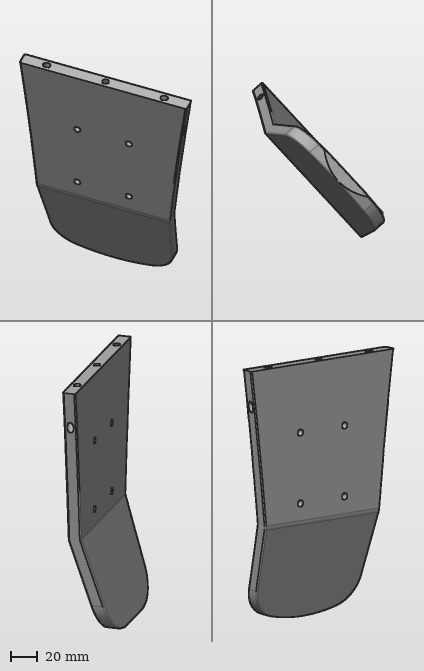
import cadquery as cq
import math

height = 198.8
top_width = 133.8
thickness = 10.0

bend_drop = 120.7
bend_angle = math.radians(17.5)
bend_inner_radius = 1.0
bend_outer_radius = bend_inner_radius + thickness
end_cut_drop = 199.0

side_mid_half_width = 56.0
foot_half_width = 48.0
foot_drop = 188.5
corner_radius = 25.8
edge_round = 1.0

hole_diameter = 5.0
mount_spacing_x = 41.4
mount_spacing_z = 53.9
mount_top_drop = 52.3
edge_hole_y = thickness / 2
center_hole_depth = 29.8
angled_hole_x = 47.1
angled_hole_tilt = math.radians(30)
angled_hole_length = 49.7


def bent_slab(end_drop):
    """Bent sheet, wider than the part, cut square where its front face reaches end_drop."""
    end_y = (end_drop - bend_drop) * math.tan(bend_angle)
    back_end_y = end_y + thickness * math.cos(bend_angle)
    back_end_drop = end_drop - thickness * math.sin(bend_angle)
    back_bend_drop = bend_drop - thickness * math.tan(bend_angle / 2)
    slab = (
        cq.Workplane("YZ")
        .moveTo(0, 0)
        .lineTo(0, -bend_drop)
        .lineTo(end_y, -end_drop)
        .lineTo(back_end_y, -back_end_drop)
        .lineTo(thickness, -back_bend_drop)
        .lineTo(thickness, 0)
        .close()
        .extrude(top_width, both=True)
    )
    front_bend = cq.selectors.NearestToPointSelector((0, 0, -bend_drop))
    back_bend = cq.selectors.NearestToPointSelector((0, thickness, -back_bend_drop))
    slab = slab.edges(front_bend).fillet(bend_outer_radius)
    return slab.edges(back_bend).fillet(bend_inner_radius)


def outline_prism():
    """Tapered outline with a rounded tip, running straight through along Y."""
    half_top = top_width / 2
    prism = (
        cq.Workplane("XZ")
        .moveTo(-half_top, 0)
        .threePointArc((-side_mid_half_width, -foot_drop / 2), (-foot_half_width, -foot_drop))
        .threePointArc((0, -height), (foot_half_width, -foot_drop))
        .threePointArc((side_mid_half_width, -foot_drop / 2), (half_top, 0))
        .close()
        .extrude(height, both=True)
    )
    return prism.edges("|Y and (not >Z)").fillet(corner_radius)


def rounded_plate():
    """Bent plate with rounded side and tip edges; the end cut comes last and stays sharp."""
    uncut_end_drop = height + 2 * thickness
    plate = bent_slab(uncut_end_drop).intersect(outline_prism())
    rounded = plate.edges("not (|X or |Y)").fillet(edge_round)
    return rounded.intersect(bent_slab(end_cut_drop))


def mount_holes():
    """Four holes straight through the upper part."""
    center_drop = mount_top_drop + mount_spacing_z / 2
    return (
        cq.Workplane("XZ", origin=(0, 0, -center_drop))
        .rarray(mount_spacing_x, mount_spacing_z, 2, 2)
        .circle(hole_diameter / 2)
        .extrude(-thickness)
    )


def edge_hole(x, direction, depth):
    """Drilled hole entering the top edge at x and running along direction."""
    lead_in = hole_diameter
    start = cq.Vector(x, edge_hole_y, 0) - direction * lead_in
    return cq.Solid.makeCylinder(hole_diameter / 2, depth + lead_in, start, direction)


result = rounded_plate().cut(mount_holes())
result = result.cut(edge_hole(0, cq.Vector(0, 0, -1), center_hole_depth))
for side in (-1, 1):
    outward = cq.Vector(side * math.sin(angled_hole_tilt), 0, -math.cos(angled_hole_tilt))
    result = result.cut(edge_hole(side * angled_hole_x, outward, angled_hole_length))